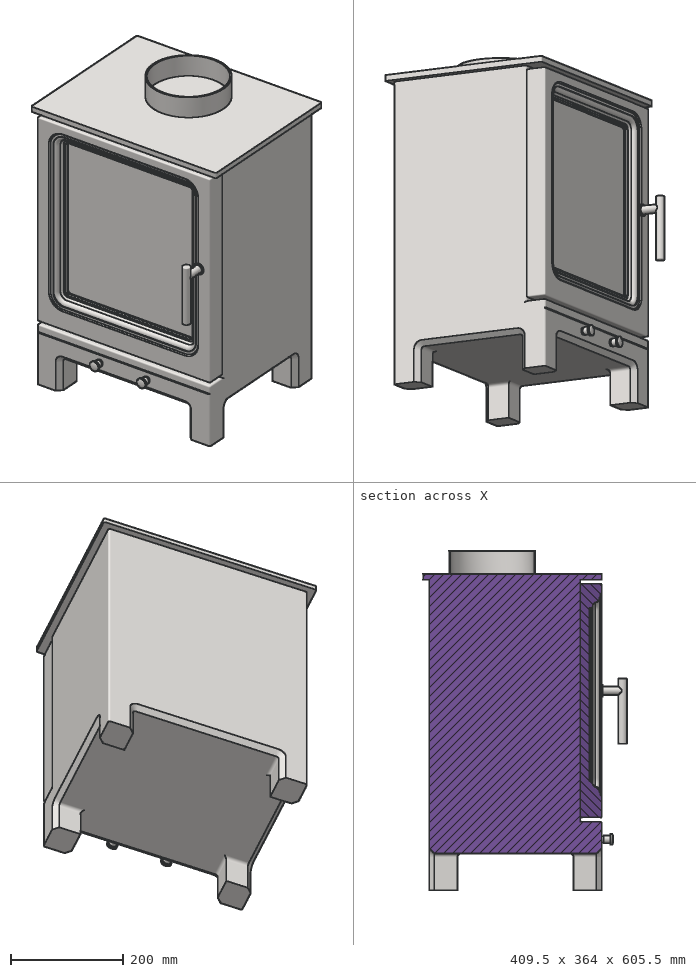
import cadquery as cq

total_height = 605.5
top_width = 409.5
top_depth = 319.0
top_thickness = 11.0
flue_height = 41.0
flue_diameter = 154.5
flue_wall = 3.0
flue_setback = 195.5
body_width = 382.5
body_depth = 308.0
edge_radius = 3.5
top_corner_radius = 3.0
ledge_height = 123.0
ledge_radius = 3.0
upper_front_radius = 4.0
groove_height = 106.0
groove_width = 1.0
groove_depth = 1.0

foot_width = 41.0
arch_flare = 9.5
arch_height = 65.5
arch_corner_radius = 6.0

door_thickness = 38.0
door_gap = 6.5
door_edge_radius = 2.5

window_width = 331.0
window_bottom = 168.0
window_height = 362.5
window_corner_radius = 31.5
rim_depth = 2.5
inner_rim_inset = 8.0
inner_rim_depth = 4.0
bead_inset = 17.0
bead_radius = 7.0
bead_wall = 0.5
window_ledge_inset = 21.0
glass_bevel = 2.5
glass_inset = 27.0
glass_depth = 22.0
smallest_corner_radius = 5.5

handle_x = 166.5
bar_diameter = 16.0
bar_bottom = 261.0
bar_top = 378.0
bar_edge_radius = 2.0
bar_reach = 45.0
stem_height = 356.0
collar_diameter = 22.0
collar_thickness = 2.0

knob_spacing = 104.0
knob_height = 91.0
knob_neck_radius = 6.0
knob_neck_length = 3.0
knob_stem_radius = 7.0
knob_head_radius = 9.5
knob_head_start = 14.5
knob_head_end = 18.0
knob_length = 20.5

bevel_angle = 45

select_margin = 0.3

top_top = total_height - flue_height
top_bottom = top_top - top_thickness
door_bottom = ledge_height + door_gap
door_top = top_bottom - door_gap
bead_depth = inner_rim_depth + bead_radius + bead_wall
window_ledge_depth = bead_depth + window_ledge_inset - bead_inset


def block(width, y_front, y_back, z_bottom, z_top):
    """A box centred on x = 0 between the given y and z limits."""
    return cq.Workplane("XY").box(
        width, y_back - y_front, z_top - z_bottom, centered=(True, False, False)
    ).translate((0, y_front, z_bottom))


def rounded_prism(width, height, corner_radius, y_start, z_middle, length, taper=0):
    """A rounded rectangle centred on x = 0 and z_middle, extruded along +Y from y_start."""
    outline = cq.Sketch().rect(width, height).vertices().fillet(corner_radius)
    plane = cq.Plane(origin=(0, y_start, z_middle), xDir=(1, 0, 0), normal=(0, 1, 0))
    return cq.Workplane(plane).placeSketch(outline).extrude(length, taper=taper)


def arch_tunnel(length, clear_width):
    """An arched passage along Y, centred on the origin, with both mouths flared."""
    passage = rounded_prism(clear_width, 2 * arch_height, arch_corner_radius, -length / 2, 0, length)
    flare = rounded_prism(
        clear_width + 2 * arch_flare,
        2 * (arch_height + arch_flare),
        arch_corner_radius + arch_flare,
        -length / 2,
        0,
        arch_flare,
        taper=bevel_angle,
    )
    return passage.union(flare).union(flare.mirror("XZ"))


def make_stove_body():
    body = block(body_width, 0, body_depth, 0, top_bottom).edges("|Z").fillet(edge_radius)
    door_space = block(2 * body_width, -door_thickness, door_thickness, ledge_height, top_top)
    ledge_edges = cq.selectors.BoxSelector(
        (-body_width, -edge_radius, ledge_height - ledge_radius),
        (body_width, door_thickness - ledge_radius, ledge_height + ledge_radius),
    )
    body = body.cut(door_space).edges(ledge_edges).fillet(ledge_radius)

    door_corners = cq.selectors.BoxSelector(
        (-body_width, door_thickness - select_margin, ledge_height),
        (body_width, door_thickness + select_margin, top_bottom),
    )
    body = body.edges("|Z").edges(door_corners).fillet(upper_front_radius)

    body = body.cut(block(body_width, 0, groove_depth, groove_height, groove_height + groove_width))

    middle = (0, body_depth / 2, 0)
    foot_total = foot_width + arch_flare
    front_arch = arch_tunnel(body_depth, body_width - 2 * foot_total)
    side_arch = arch_tunnel(body_width, body_depth - 2 * foot_total).rotate((0, 0, 0), (0, 0, 1), 90)
    body = body.cut(front_arch.translate(middle)).cut(side_arch.translate(middle))

    top = block(top_width, 0, top_depth, top_bottom, top_top).edges("|Z").fillet(top_corner_radius)
    flue = (
        cq.Workplane("XY", origin=(0, flue_setback, top_top))
        .circle(flue_diameter / 2)
        .circle(flue_diameter / 2 - flue_wall)
        .extrude(flue_height)
    )
    return body.union(top).union(flue)


def window_step(inset, y_start, y_end, taper=0):
    """One step of the window recess, its outline inset from the recess outline."""
    return rounded_prism(
        window_width - 2 * inset,
        window_height - 2 * inset,
        max(window_corner_radius - inset, smallest_corner_radius),
        y_start,
        window_bottom + window_height / 2,
        y_end - y_start,
        taper,
    )


def make_door():
    door = block(body_width, 0, door_thickness, door_bottom, door_top).edges().fillet(door_edge_radius)

    door = door.cut(window_step(0, 0, rim_depth, taper=bevel_angle))
    door = door.cut(window_step(inner_rim_inset, 0, inner_rim_depth))

    door = door.cut(window_step(bead_inset, 0, bead_depth))
    bead_reach = bead_inset - select_margin
    half_width = window_width / 2 - bead_reach
    bead_edges = cq.selectors.BoxSelector(
        (-half_width, inner_rim_depth - select_margin, window_bottom + bead_reach),
        (half_width, inner_rim_depth + select_margin, window_bottom + window_height - bead_reach),
    )
    door = door.edges(bead_edges).fillet(bead_radius)

    door = door.cut(window_step(bead_inset, bead_depth, window_ledge_depth, taper=bevel_angle))
    bevel_end = window_ledge_depth + glass_bevel
    door = door.cut(window_step(glass_inset - glass_bevel, window_ledge_depth, bevel_end, taper=bevel_angle))
    return door.cut(window_step(glass_inset, bead_depth, glass_depth))


def make_handle():
    bar_y = bar_diameter / 2 - bar_reach
    bar = (
        cq.Workplane("XY", origin=(handle_x, bar_y, bar_bottom))
        .circle(bar_diameter / 2)
        .extrude(bar_top - bar_bottom)
        .edges().fillet(bar_edge_radius)
    )
    mount = cq.Workplane("XZ", origin=(handle_x, 0, stem_height))
    stem = mount.circle(bar_diameter / 2).extrude(-bar_y)
    collar = mount.circle(collar_diameter / 2).extrude(collar_thickness)
    return bar.union(stem).union(collar)


def make_knob(x):
    """A turned knob pointing along -Y: narrow neck, thicker stem and domed head."""
    return (
        cq.Workplane("XY")
        .lineTo(knob_neck_radius, 0)
        .lineTo(knob_neck_radius, -knob_neck_length)
        .lineTo(knob_stem_radius, -knob_neck_length)
        .lineTo(knob_stem_radius, -knob_head_start)
        .lineTo(knob_head_radius, -knob_head_start)
        .lineTo(knob_head_radius, -knob_head_end)
        .spline([(0, -knob_length)], tangents=[(-1, -1), (-1, 0)], includeCurrent=True)
        .close()
        .revolve(360, (0, 0, 0), (0, 1, 0))
        .translate((x, 0, knob_height))
    )


stove_body = make_stove_body()
door = make_door()
handle = make_handle()
knobs = [make_knob(x) for x in (-knob_spacing / 2, knob_spacing / 2)]

result = cq.Compound.makeCompound(
    [stove_body.val(), door.val(), handle.val(), *[knob.val() for knob in knobs]]
)